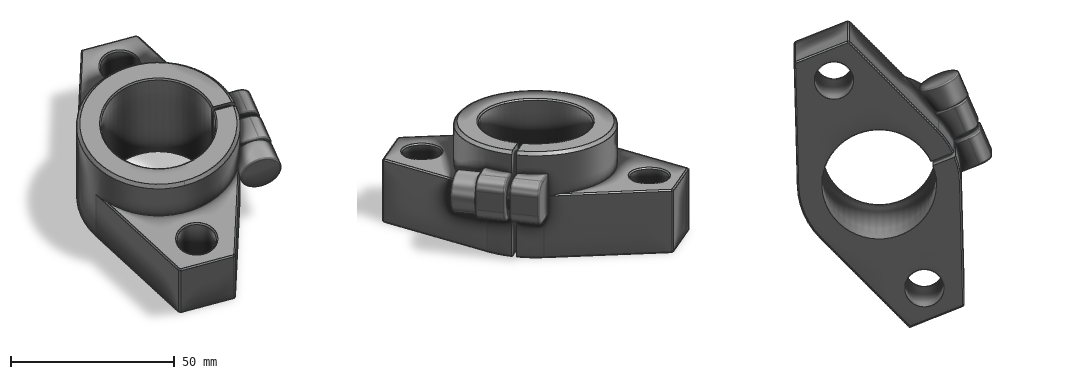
import cadquery as cq
import math

overall_length = 92.0
ring_height = 35.0
ring_diameter = 50.0
bore_diameter = 35.0
ring_chamfer = 1.0
edge_chamfer = 0.5
edge_round = 0.5

flange_height = 21.0
flange_end_width = 18.0
hole_diameter = 12.0
hole_spacing = 71.9

slot_width = 1.5
clamp_half_length = 10.1
lug_height = 14.0
lug_tip_y = 33.0
lug_root_y = 18.4
lug_fillet = 4.0

screw_y = 27.05
screw_z = flange_height
head_diameter = 13.0
head_length = 7.7
shank_diameter = 8.0
shank_length = 16.0

ring_radius = ring_diameter / 2
half_length = overall_length / 2
half_end = flange_end_width / 2


def tangent_point():
    """Point of the ring circle where the line from the (+X, +Y) flange corner is tangent to it."""
    corner_angle = math.atan2(half_end, half_length)
    corner_distance = math.hypot(half_length, half_end)
    angle = corner_angle + math.acos(ring_radius / corner_distance)
    return ring_radius * math.cos(angle), ring_radius * math.sin(angle)


def make_flange():
    """Plate whose slanted sides end where they are tangent to the ring."""
    tx, ty = tangent_point()
    outline = [
        (half_length, -half_end),
        (half_length, half_end),
        (tx, ty),
        (-tx, ty),
        (-half_length, half_end),
        (-half_length, -half_end),
        (-tx, -ty),
        (tx, -ty),
    ]
    flange = cq.Workplane("XY").polyline(outline).close().extrude(flange_height)
    flange = flange.edges("|Z and >X").chamfer(edge_chamfer)
    flange = flange.edges("|Z and <X").edges(">Y").chamfer(edge_chamfer)
    return flange.faces("<Z or >Z").edges().chamfer(edge_chamfer)


def make_ring():
    """Clamping ring with broken outer edges."""
    ring = cq.Workplane("XY").circle(ring_radius).extrude(ring_height)
    ring = ring.faces(">Z").edges().chamfer(ring_chamfer)
    return ring.faces("<Z").edges().chamfer(edge_chamfer)


def make_lug(start_x):
    """Clamp lug reaching along +X from start_x, rounded along its outer long edges."""
    length = clamp_half_length - slot_width / 2
    depth = lug_tip_y - lug_root_y
    lug = (
        cq.Workplane("XY")
        .box(length, depth, lug_height, centered=(False, False, True))
        .translate((start_x, lug_root_y, screw_z))
    )
    lug = lug.edges("|X and >Y").fillet(lug_fillet)
    return lug.faces("<X or >X").edges("not(<Y)").fillet(edge_round)


def x_cylinder(diameter, start_x, length):
    """Cylinder on the screw axis, reaching along +X from start_x."""
    return (
        cq.Workplane("YZ", origin=(start_x, 0, 0))
        .center(screw_y, screw_z)
        .circle(diameter / 2)
        .extrude(length)
    )


def make_screw_shank():
    """Shank through the +X lug and the slot, ending inside the -X lug."""
    return x_cylinder(shank_diameter, clamp_half_length - shank_length, shank_length)


def top_chamfered_hole(diameter, top_z):
    """Cutter for a through hole along Z with its upper rim broken."""
    radius = diameter / 2
    rim_radius = radius + edge_chamfer
    return (
        cq.Workplane("XZ")
        .moveTo(0, 0)
        .lineTo(radius, 0)
        .lineTo(radius, top_z - edge_chamfer)
        .lineTo(rim_radius, top_z)
        .lineTo(0, top_z)
        .close()
        .revolve(360, (0, 0, 0), (0, 1, 0))
    )


def make_support():
    """Flanged shaft support with its split clamp."""
    support = make_flange().union(make_ring())
    for start_x in (slot_width / 2, -clamp_half_length):
        support = support.union(make_lug(start_x))

    support = support.cut(top_chamfered_hole(bore_diameter, ring_height))
    for side in (-1, 1):
        mounting_hole = top_chamfered_hole(hole_diameter, flange_height)
        support = support.cut(mounting_hole.translate((side * hole_spacing / 2, 0, 0)))

    slot = cq.Workplane("XY").box(slot_width, lug_tip_y, ring_height, centered=(True, False, False))
    support = support.cut(slot)

    support = support.cut(make_screw_shank())
    return support.cut(x_cylinder(head_diameter, clamp_half_length, head_length))


def make_screw():
    """Clamp screw with a cylindrical head against the +X lug."""
    head = x_cylinder(head_diameter, clamp_half_length, head_length)
    head = head.faces(">X").edges().fillet(edge_round)
    return head.union(make_screw_shank())


support = make_support()
screw = make_screw()
result = cq.Compound.makeCompound([support.val(), screw.val()])